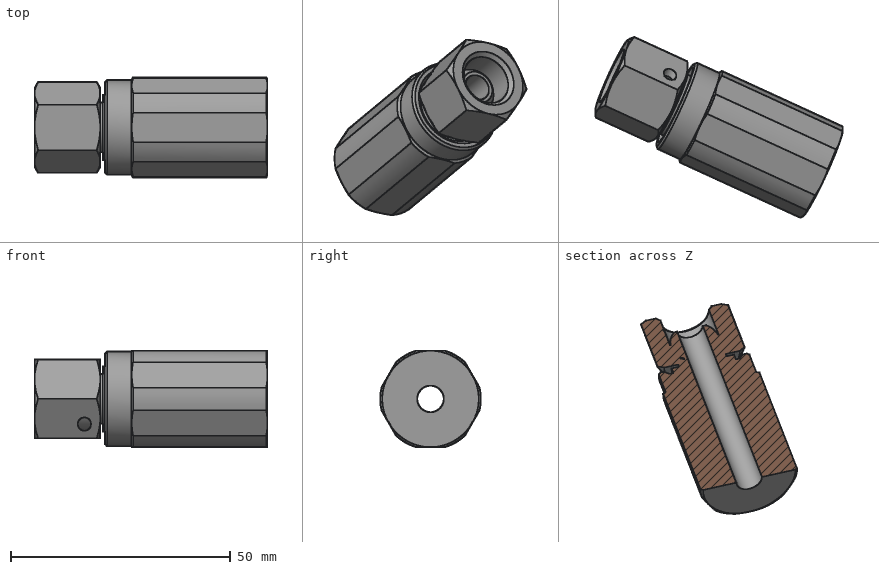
import cadquery as cq
import math

total_length = 53.1
nut_length = 15.0
flange_start = 15.55
collar_start = 16.05
sleeve_start = 22.1
nose_tip = 5.2

nut_flats = 18.0
sleeve_flats = 22.0
sleeve_diameter = 23.0
nut_bore_diameter = 11.4
nut_mouth_diameter = 13.3
flange_diameter = 14.9
collar_diameter = 21.65
collar_recess_diameter = 18.7
nose_tip_diameter = 7.7
through_diameter = 6.0

collar_chamfer = 0.55
mouth_depth = 0.95
hex_chamfer_angle = math.radians(30)
collar_recess_depth = 1.0

wire_hole_diameter = 3.05
wire_hole_x = 11.35
wire_hole_z = -5.75


def rod(start, end, diameter):
    """Cylinder on the X axis."""
    return cq.Workplane("YZ", origin=(start, 0, 0)).circle(diameter / 2).extrude(end - start)


def revolve_profile(points):
    """Solid turned about the X axis from (x, radius) points."""
    return cq.Workplane("XY").polyline(points).close().revolve(360, (0, 0, 0), (1, 0, 0))


def chamfered_hex(start, end, flats, outer_diameter, start_diameter):
    """Hexagon with flats on top and bottom, trimmed round and chamfered at both ends."""
    corner_diameter = flats / math.cos(math.pi / 6)
    prism = cq.Workplane("YZ", origin=(start, 0, 0)).polygon(6, corner_diameter).extrude(end - start)
    start_radius = start_diameter / 2
    end_radius = flats / 2
    outer_radius = outer_diameter / 2
    start_chamfer = (outer_radius - start_radius) * math.tan(hex_chamfer_angle)
    end_chamfer = (outer_radius - end_radius) * math.tan(hex_chamfer_angle)
    envelope = revolve_profile([
        (start, 0),
        (start, start_radius),
        (start + start_chamfer, outer_radius),
        (end - end_chamfer, outer_radius),
        (end, end_radius),
        (end, 0),
    ])
    return prism.intersect(envelope)


def bored_nut():
    """Swivel nut with a countersunk bore and a ball nose standing inside it."""
    nut_corners = nut_flats / math.cos(math.pi / 6)
    nut = chamfered_hex(0, nut_length, nut_flats, nut_corners, nut_flats)
    ball_radius = nut_bore_diameter / 2
    tip_radius = nose_tip_diameter / 2
    ball_center = nose_tip + math.sqrt(ball_radius**2 - tip_radius**2)
    bore = revolve_profile([
        (0, 0),
        (0, nut_mouth_diameter / 2),
        (mouth_depth, ball_radius),
        (ball_center, ball_radius),
        (ball_center, 0),
    ])
    ball = cq.Workplane("XY").sphere(ball_radius).translate((ball_center, 0, 0))
    nose = ball.intersect(rod(nose_tip, ball_center, nut_bore_diameter))
    return nut.cut(bore).union(nose)


def recessed_collar():
    """Collar with a chamfered front edge and a flat-floored, 45 degree recess around the flange."""
    collar = rod(collar_start, sleeve_start, collar_diameter).faces("<X").chamfer(collar_chamfer)
    recess_floor = collar_start + collar_recess_depth
    recess = revolve_profile([
        (collar_start, flange_diameter / 2),
        (collar_start, collar_recess_diameter / 2),
        (recess_floor, collar_recess_diameter / 2 - collar_recess_depth),
        (recess_floor, flange_diameter / 2),
    ])
    return collar.cut(recess)


def wire_hole():
    """Hole along Y that stops on a round floor coaxial with the nut."""
    hole = (
        cq.Workplane("XZ", origin=(wire_hole_x, 0, wire_hole_z))
        .circle(wire_hole_diameter / 2)
        .extrude(nut_flats)
    )
    return hole.cut(rod(0, nut_length, flange_diameter))


neck = rod(nut_length, flange_start, nut_bore_diameter)
flange = rod(flange_start, collar_start, flange_diameter)
sleeve = chamfered_hex(sleeve_start, total_length, sleeve_flats, sleeve_diameter, collar_diameter)

body = bored_nut().cut(wire_hole()).union(neck).union(flange).union(recessed_collar()).union(sleeve)
result = body.cut(rod(0, total_length, through_diameter))